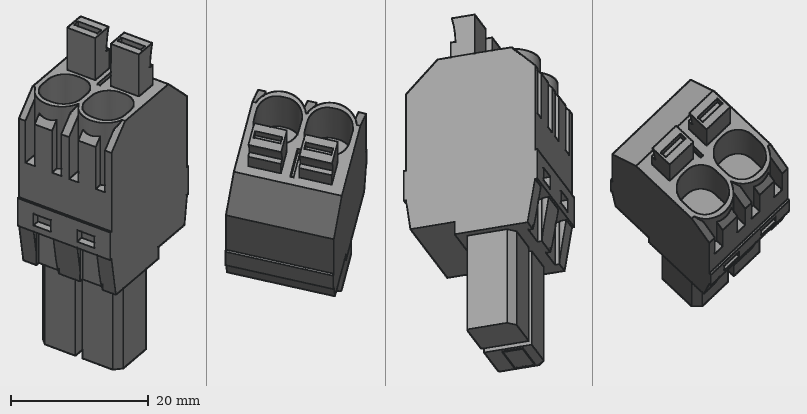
import cadquery as cq


TOTAL_HEIGHT = 52.1
PAD_HEIGHT = 0.15
HOUSING_BOTTOM = 15.55
HOUSING_TOP = 44.7

POLE_PITCH = 7.6
POLE_CENTRES = (-POLE_PITCH / 2, POLE_PITCH / 2)

WIDTH = 16.15
BAND_HALF_DEPTH = 20.6 / 2
BODY_HALF_DEPTH = 9.95
BAND_BOTTOM = 22.45
BAND_TOP = 27.3
BACK_CHAMFER = 4.9
FRONT_CHAMFER = 3.6
BACK_FOOT_BOTTOM = 17.55
BACK_FOOT_Y = 9.3
STEP_Y = 2.45
FRONT_FOOT_Y = -8.8

ENTRY_WIDTH = 6.8
ENTRY_LENGTH = 7.55
ENTRY_CORNER_RADIUS = 3.0
ENTRY_Y = -4.4
SLEEVE_RADIUS = 4.0
SLEEVE_Y = -5.0
GUIDE_SLOT_BOTTOM = 33.75
GUIDE_SLOT_OUTER_WIDTH = 6.25
ENTRY_DEPTH = HOUSING_TOP - GUIDE_SLOT_BOTTOM

RIB_WIDTH = 3.0
WINDOW_BOTTOM = 23.55
WINDOW_HEIGHT = 2.05
WINDOW_DEPTH = 1.2
RECESS_WIDTH = 3.45
RECESS_BACK_Y = -8.15
LIP_WIDTH = 0.25
LIP_DEPTH = 0.45

SLIT_WIDTH = 0.5
SLIT_X = -0.3
SLIT_BACK_Y = 3.85
SLIT_LENGTH = 4.55
SLIT_DEPTH = 1.55

PRONG_WIDTH = 6.4
PRONG_FRONT_Y = -6.35
PRONG_BACK_Y = 1.0
PRONG_FRONT_CHAMFER = 1.1
PRONG_BACK_FILLET = 0.3
PAD_WIDTH = 5.3
PAD_LENGTH = 3.15
PAD_Y = -3.25

LEVER_WIDTH = 4.9
LEVER_FRONT_Y = 0.0
LEVER_BACK_Y = 3.7
LEVER_TIP_Y = 3.55
GRIP_BOTTOM = 48.15
GRIP_Y = 2.95
GRIP_MID_Y = 3.15
TOOL_SLOT_WIDTH = 4.05
TOOL_SLOT_LENGTH = 1.05
TOOL_SLOT_Y = 1.7
TOOL_SLOT_DEPTH = 1.55


def box(width, y_min, y_max, z_min, z_max, x_centre=0.0):
    """Upright block centred on x_centre."""
    return (
        cq.Workplane("XY")
        .box(width, y_max - y_min, z_max - z_min, centered=(True, False, False))
        .translate((x_centre, y_min, z_min))
    )


def extrude_across(outline, width):
    """Extrude a closed YZ outline symmetrically along X."""
    return outline.close().extrude(width / 2, both=True)


def housing_block():
    """Side profile without the front chamfer, which has to spare the sleeves."""
    outline = cq.Workplane("YZ").polyline([
        (FRONT_FOOT_Y, HOUSING_BOTTOM),
        (-BODY_HALF_DEPTH, BAND_BOTTOM),
        (-BAND_HALF_DEPTH, BAND_BOTTOM),
        (-BAND_HALF_DEPTH, BAND_TOP),
        (-BODY_HALF_DEPTH, BAND_TOP),
        (-BODY_HALF_DEPTH, HOUSING_TOP),
        (BODY_HALF_DEPTH - BACK_CHAMFER, HOUSING_TOP),
        (BODY_HALF_DEPTH, HOUSING_TOP - BACK_CHAMFER),
        (BODY_HALF_DEPTH, BAND_TOP),
        (BAND_HALF_DEPTH, BAND_TOP),
        (BAND_HALF_DEPTH, BAND_BOTTOM),
        (BODY_HALF_DEPTH, BAND_BOTTOM),
        (BACK_FOOT_Y, BACK_FOOT_BOTTOM),
        (STEP_Y, BACK_FOOT_BOTTOM),
        (STEP_Y, HOUSING_BOTTOM),
    ])
    return extrude_across(outline, WIDTH)


def front_relief():
    """Material removed around the sleeves: the front chamfer and the guide slots beside each rib."""
    outline = cq.Workplane("YZ").polyline([
        (-BODY_HALF_DEPTH, HOUSING_TOP),
        (-BODY_HALF_DEPTH, HOUSING_TOP - FRONT_CHAMFER),
        (-BODY_HALF_DEPTH + FRONT_CHAMFER, HOUSING_TOP),
    ])
    relief = extrude_across(outline, WIDTH)
    slot_width = (GUIDE_SLOT_OUTER_WIDTH - RIB_WIDTH) / 2
    slot_offset = (RIB_WIDTH + slot_width) / 2
    for x in POLE_CENTRES:
        for side in (-1, 1):
            slot_x = x + side * slot_offset
            slot = box(slot_width, -BODY_HALF_DEPTH, SLEEVE_Y, GUIDE_SLOT_BOTTOM, HOUSING_TOP, slot_x)
            relief = relief.union(slot)
    for x in POLE_CENTRES:
        sleeve = (
            cq.Workplane("XY", origin=(x, SLEEVE_Y, GUIDE_SLOT_BOTTOM))
            .circle(SLEEVE_RADIUS)
            .extrude(HOUSING_TOP - GUIDE_SLOT_BOTTOM)
        )
        relief = relief.cut(sleeve)
    return relief


def wire_entry(x):
    """Blind round-cornered hole that takes the wire."""
    return (
        cq.Workplane("XY", origin=(x, ENTRY_Y, HOUSING_TOP - ENTRY_DEPTH))
        .rect(ENTRY_WIDTH, ENTRY_LENGTH)
        .extrude(ENTRY_DEPTH)
        .edges("|Z")
        .fillet(ENTRY_CORNER_RADIUS)
    )


def window(x):
    """Blind rectangular window in the front of the band."""
    back_y = -BAND_HALF_DEPTH + WINDOW_DEPTH
    return box(RIB_WIDTH, -BAND_HALF_DEPTH, back_y, WINDOW_BOTTOM, WINDOW_BOTTOM + WINDOW_HEIGHT, x)


def foot_recess(x):
    """Upright recess in the tapered front foot, with rounded lips opening into a wider back."""
    mouth = RECESS_WIDTH / 2
    back = mouth + LIP_WIDTH
    lip_end_y = FRONT_FOOT_Y
    lip_start_y = FRONT_FOOT_Y - LIP_DEPTH
    half_recess = (
        cq.Workplane("XY", origin=(0, 0, HOUSING_BOTTOM))
        .moveTo(0, -BAND_HALF_DEPTH)
        .lineTo(mouth, -BAND_HALF_DEPTH)
        .lineTo(mouth, lip_start_y)
        .tangentArcPoint((back, lip_end_y), relative=False)
        .lineTo(back, RECESS_BACK_Y)
        .lineTo(0, RECESS_BACK_Y)
        .close()
        .extrude(BAND_BOTTOM - HOUSING_BOTTOM)
    )
    return half_recess.union(half_recess.mirror("YZ")).translate((x, 0, 0))


def prong(x):
    """Plug prong whose outer vertical edges are chamfered at the front and rounded at the back."""
    outer = "<X" if x < 0 else ">X"
    block = box(PRONG_WIDTH, PRONG_FRONT_Y, PRONG_BACK_Y, PAD_HEIGHT, HOUSING_BOTTOM, x)
    block = block.faces(outer).edges("<Y").chamfer(PRONG_FRONT_CHAMFER)
    return block.faces(outer).edges(">Y").fillet(PRONG_BACK_FILLET)


def prong_pad(x):
    """Thin raised pad on the end of a prong."""
    return box(PAD_WIDTH, PAD_Y - PAD_LENGTH / 2, PAD_Y + PAD_LENGTH / 2, 0, PAD_HEIGHT, x)


def make_housing():
    body = housing_block().cut(front_relief())
    for x in POLE_CENTRES:
        body = body.cut(wire_entry(x)).cut(window(x)).cut(foot_recess(x))
        body = body.union(prong(x))
    slit_front = SLIT_BACK_Y - SLIT_LENGTH
    slit = box(SLIT_WIDTH, slit_front, SLIT_BACK_Y, HOUSING_TOP - SLIT_DEPTH, HOUSING_TOP, SLIT_X)
    return body.cut(slit).union(prong_pad(POLE_CENTRES[-1]))


def make_lever(x):
    """Release lever standing on the housing, with a finger grip at the back and a tool slot on top."""
    outline = (
        cq.Workplane("YZ")
        .moveTo(LEVER_FRONT_Y, HOUSING_TOP)
        .lineTo(LEVER_FRONT_Y, TOTAL_HEIGHT)
        .lineTo(LEVER_TIP_Y, TOTAL_HEIGHT)
        .threePointArc((GRIP_MID_Y, (TOTAL_HEIGHT + GRIP_BOTTOM) / 2), (GRIP_Y, GRIP_BOTTOM))
        .lineTo(LEVER_BACK_Y, GRIP_BOTTOM)
        .lineTo(LEVER_BACK_Y, HOUSING_TOP)
    )
    slot_front = TOOL_SLOT_Y - TOOL_SLOT_LENGTH / 2
    slot_back = TOOL_SLOT_Y + TOOL_SLOT_LENGTH / 2
    tool_slot = box(TOOL_SLOT_WIDTH, slot_front, slot_back, TOTAL_HEIGHT - TOOL_SLOT_DEPTH, TOTAL_HEIGHT)
    return extrude_across(outline, LEVER_WIDTH).cut(tool_slot).translate((x, 0, 0))


housing = make_housing()
levers = [make_lever(x) for x in POLE_CENTRES]

result = cq.Compound.makeCompound([housing.val(), *[lever.val() for lever in levers]])